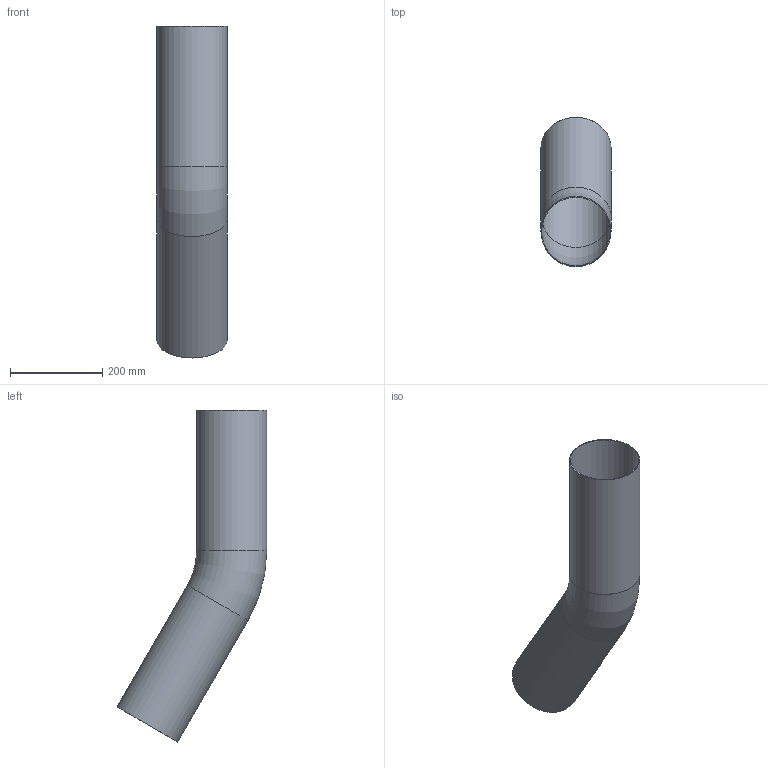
import cadquery as cq
import math

outer_diameter = 152.4
inner_diameter = 149.2
leg_length = 2 * outer_diameter
bend_radius = 1.5 * outer_diameter
bend_angle = 30.0


def bend_point(angle):
    """Centreline point (y, z) after turning by angle degrees from the bend start at the origin."""
    turn = math.radians(angle)
    return bend_radius * (1 - math.cos(turn)), -bend_radius * math.sin(turn)


def centreline():
    """Path from the top opening down, bending towards +Y in the YZ plane."""
    bend_middle = bend_point(bend_angle / 2)
    bend_end = bend_point(bend_angle)
    slope = math.radians(bend_angle)
    lower_end = (
        bend_end[0] + leg_length * math.sin(slope),
        bend_end[1] - leg_length * math.cos(slope),
    )
    return (
        cq.Workplane("YZ")
        .moveTo(0, leg_length)
        .lineTo(0, 0)
        .threePointArc(bend_middle, bend_end)
        .lineTo(*lower_end)
    )


def bent_tube():
    """Annular section swept along the centreline, open at both ends."""
    section = (
        cq.Workplane("XY", origin=(0, 0, leg_length))
        .circle(outer_diameter / 2)
        .circle(inner_diameter / 2)
    )
    return section.sweep(centreline())


result = bent_tube()